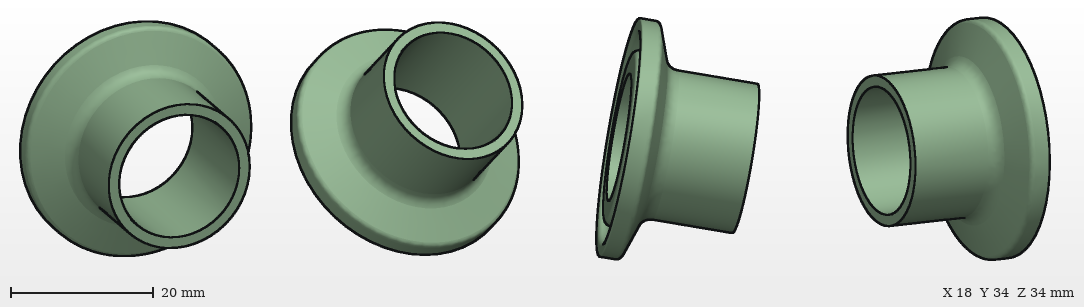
import cadquery as cq
import math

length = 18.0
flange_radius = 17.0
tube_radius = 10.65
bore_radius = 9.05

taper_angle = math.radians(20)
rim_corner_x = 2.82
rim_fillet = 0.78
neck_fillet = 2.0
face_edge_fillet = 0.2
radius_tolerance = 0.005
neck_corner_x = rim_corner_x + (flange_radius - tube_radius) * math.tan(taper_angle)

groove_radius = 13.7
groove_half_width = 2.0
wall_angle = math.radians(20)
lip_round = 0.78
floor_round = 1.22


def make_body():
    """Revolve the tube and flange about X, then round the outer edges."""
    body = (
        cq.Workplane("XY")
        .moveTo(0, bore_radius)
        .lineTo(0, flange_radius)
        .lineTo(rim_corner_x, flange_radius)
        .lineTo(neck_corner_x, tube_radius)
        .lineTo(length, tube_radius)
        .lineTo(length, bore_radius)
        .close()
        .revolve(360, (0, 0, 0), (1, 0, 0))
    )
    for x, radius, fillet in (
        (0, flange_radius, face_edge_fillet),
        (rim_corner_x, flange_radius, rim_fillet),
        (neck_corner_x, tube_radius, neck_fillet),
    ):
        nearest = cq.selectors.NearestToPointSelector((x, 0, 0))
        rings = body.edges("%CIRCLE").filter(
            lambda ring, r=radius: abs(ring.radius() - r) < radius_tolerance
        )
        body = rings.edges(nearest).fillet(fillet)
    return body


def make_groove():
    """Revolved cutter with rounded lips, sloping walls and a round floor."""
    arc_angle = math.pi / 2 - wall_angle
    lip_end_x = lip_round * (1 - math.cos(arc_angle))
    lip_end_offset = groove_half_width - lip_round * math.sin(arc_angle)
    lip_mid_x = lip_round * (1 - math.cos(arc_angle / 2))
    lip_mid_offset = groove_half_width - lip_round * math.sin(arc_angle / 2)

    floor_offset = floor_round * math.sin(arc_angle)
    floor_start_x = lip_end_x + (lip_end_offset - floor_offset) / math.tan(wall_angle)
    groove_depth = floor_start_x + floor_round * (1 - math.cos(arc_angle))

    inner = groove_radius - groove_half_width
    outer = groove_radius + groove_half_width
    return (
        cq.Workplane("XY")
        .moveTo(0, inner)
        .threePointArc(
            (lip_mid_x, groove_radius - lip_mid_offset),
            (lip_end_x, groove_radius - lip_end_offset),
        )
        .lineTo(floor_start_x, groove_radius - floor_offset)
        .threePointArc(
            (groove_depth, groove_radius),
            (floor_start_x, groove_radius + floor_offset),
        )
        .lineTo(lip_end_x, groove_radius + lip_end_offset)
        .threePointArc((lip_mid_x, groove_radius + lip_mid_offset), (0, outer))
        .close()
        .revolve(360, (0, 0, 0), (1, 0, 0))
    )


result = make_body().cut(make_groove())